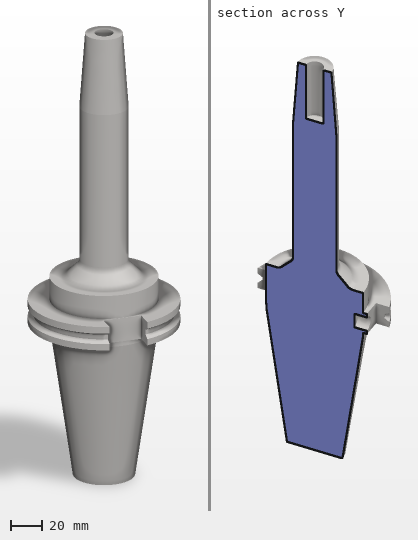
import cadquery as cq
import math

total_height = 304.8
gauge_height = 101.5
flange_bottom = 105.0
flange_top = 121.0
body_top = 137.0
tip_start = 254.2

taper_ratio = 7 / 24
gauge_radius = 34.9
taper_end_radius = gauge_radius - gauge_height * taper_ratio / 2
flange_radius = 49.0
body_radius = 35.0
shank_radius = 16.0
tip_radius = 12.2

groove_floor_radius = 45.7
groove_center = 112.8
groove_floor_width = 3.5
groove_flank_angle = math.radians(30)

shoulder_base_radius = 27.5
shoulder_blend_radius = 5.0

slot_width = 25.5
left_slot_floor = 37.8
right_slot_floor = 35.5

bore_diameter = 12.2
bore_depth = 42.7
side_hole_diameter = 10.5
side_hole_depth = 9.0


def turned_body():
    groove_half_floor = groove_floor_width / 2
    groove_depth = flange_radius - groove_floor_radius
    groove_half_mouth = groove_half_floor + groove_depth * math.tan(groove_flank_angle)

    blend = shoulder_blend_radius
    turn = math.radians(45)

    def along(angle):
        return blend * math.sin(angle)

    def across(angle):
        return blend * (1 - math.cos(angle))

    lower_end = (shoulder_base_radius - along(turn), body_top + across(turn))
    lower_mid = (shoulder_base_radius - along(turn / 2), body_top + across(turn / 2))
    upper_start = shank_radius + across(turn)
    cone_top = lower_end[1] + lower_end[0] - upper_start
    shank_start = cone_top + along(turn)
    upper_mid = (shank_radius + across(turn / 2), shank_start - along(turn / 2))

    profile = (
        cq.Workplane("XZ")
        .lineTo(taper_end_radius, 0)
        .lineTo(gauge_radius, gauge_height)
        .lineTo(gauge_radius, flange_bottom)
        .lineTo(flange_radius, flange_bottom)
        .lineTo(flange_radius, groove_center - groove_half_mouth)
        .lineTo(groove_floor_radius, groove_center - groove_half_floor)
        .lineTo(groove_floor_radius, groove_center + groove_half_floor)
        .lineTo(flange_radius, groove_center + groove_half_mouth)
        .lineTo(flange_radius, flange_top)
        .lineTo(body_radius, flange_top)
        .lineTo(body_radius, body_top)
        .lineTo(shoulder_base_radius, body_top)
        .threePointArc(lower_mid, lower_end)
        .lineTo(upper_start, cone_top)
        .threePointArc(upper_mid, (shank_radius, shank_start))
        .lineTo(shank_radius, tip_start)
        .lineTo(tip_radius, total_height)
        .lineTo(0, total_height)
        .close()
    )
    return profile.revolve(360, (0, 0, 0), (0, 1, 0))


def drive_slot(side, floor):
    """Slot through the flange on the -X (side = -1) or +X (side = 1) side."""
    length = flange_radius
    height = flange_top - flange_bottom
    return cq.Workplane("XY").box(length, slot_width, height).translate(
        (side * (floor + length / 2), 0, flange_bottom + height / 2)
    )


def tip_bore():
    return (
        cq.Workplane("XY", origin=(0, 0, total_height))
        .circle(bore_diameter / 2)
        .extrude(-bore_depth)
    )


def side_hole():
    return (
        cq.Workplane("YZ", origin=(-left_slot_floor, 0, groove_center))
        .circle(side_hole_diameter / 2)
        .extrude(side_hole_depth)
    )


result = (
    turned_body()
    .cut(drive_slot(-1, left_slot_floor))
    .cut(drive_slot(1, right_slot_floor))
    .cut(tip_bore())
    .cut(side_hole())
)